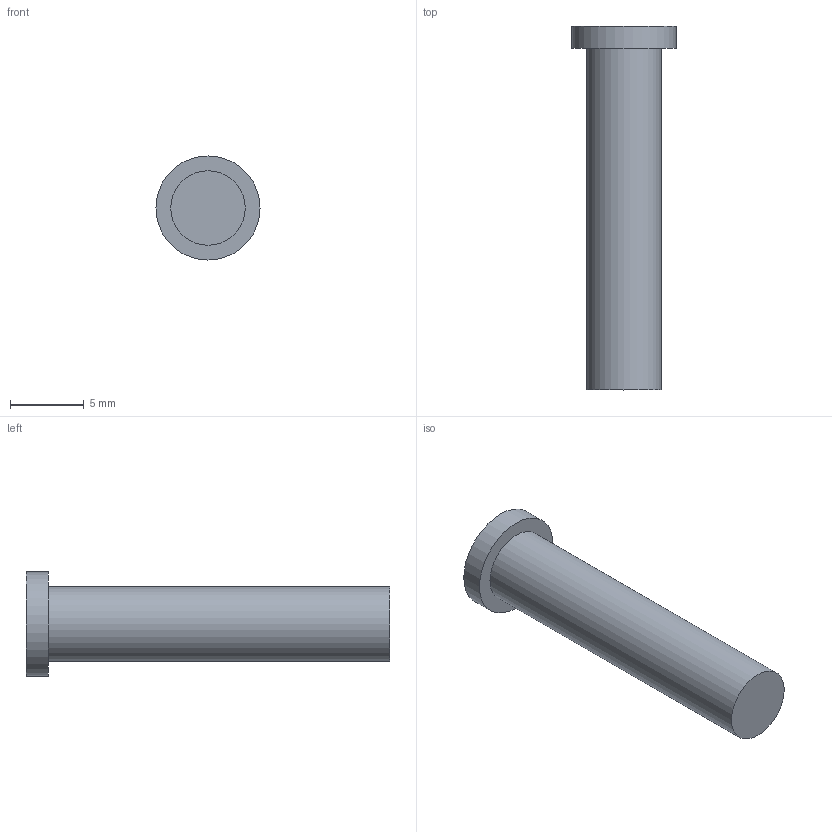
import cadquery as cq

HEAD_DIAMETER = 7.04
HEAD_THICKNESS = 1.5
SHANK_DIAMETER = 5.04
TOTAL_LENGTH = 24.6

SHANK_LENGTH = TOTAL_LENGTH - HEAD_THICKNESS


def cylinder_along_y(diameter, start_y, length):
    """Solid cylinder on the Y axis, running from start_y toward +Y."""
    return cq.Workplane("XZ", origin=(0, start_y, 0)).circle(diameter / 2).extrude(-length)


shank = cylinder_along_y(SHANK_DIAMETER, 0, SHANK_LENGTH)
head = cylinder_along_y(HEAD_DIAMETER, SHANK_LENGTH, HEAD_THICKNESS)

result = shank.union(head)